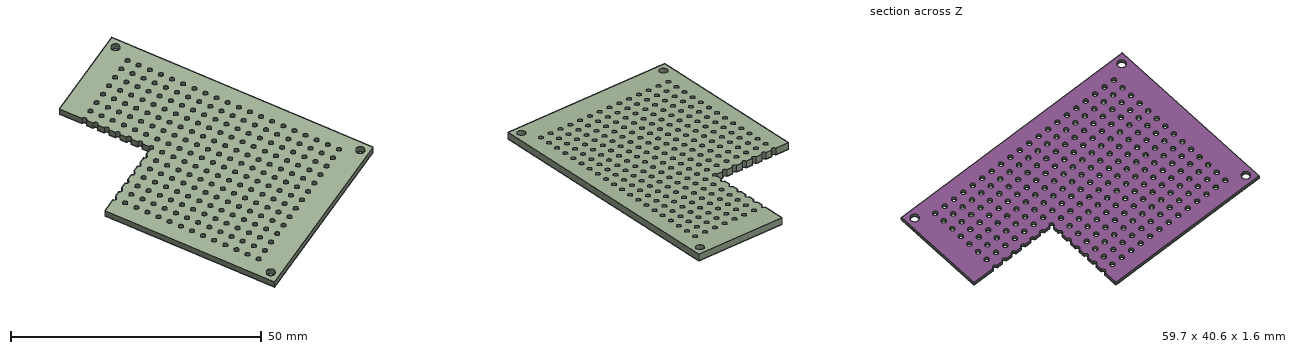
import cadquery as cq

pitch = 2.54
columns = 20
rows = 14
length = 23.5 * pitch
width = 16 * pitch
thickness = 1.6

grid_hole_diameter = 1.0
mounting_hole_diameter = 1.8
mounting_hole_inset = 0.75 * pitch

first_column_x = (length - (columns - 1) * pitch) / 2
first_row_y = (width - (rows - 1) * pitch) / 2

notch_column = 6
notch_row = 6
notch_length = first_column_x + notch_column * pitch
notch_width = first_row_y + notch_row * pitch


def make_board():
    """L-shaped plate with its outer rectangle starting at the origin."""
    outline = [
        (notch_length, 0),
        (length, 0),
        (length, width),
        (0, width),
        (0, notch_width),
        (notch_length, notch_width),
    ]
    return cq.Workplane("XY").polyline(outline).close().extrude(thickness)


def grid_points():
    """Centres of the grid holes on the board and along the cut-out edges."""
    return [
        (first_column_x + column * pitch, first_row_y + row * pitch)
        for column in range(columns)
        for row in range(rows)
        if column >= notch_column or row >= notch_row
    ]


def mounting_points():
    """Centres of the mounting holes in the three full corners."""
    left = mounting_hole_inset
    right = length - mounting_hole_inset
    bottom = mounting_hole_inset
    top = width - mounting_hole_inset
    return [(left, top), (right, top), (right, bottom)]


def make_pins(points, diameter):
    """Cylinders through the board thickness, used to cut holes."""
    return cq.Workplane("XY").pushPoints(points).circle(diameter / 2).extrude(thickness)


result = (
    make_board()
    .cut(make_pins(grid_points(), grid_hole_diameter))
    .cut(make_pins(mounting_points(), mounting_hole_diameter))
)